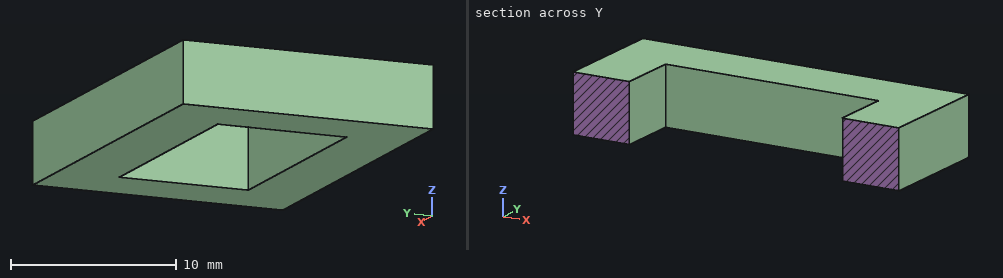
import cadquery as cq

length = 23.0
width = 16.5
wall = 4.0
height = wall

opening_length = length - 2 * wall
opening_width = width - 2 * wall

frame_outline = cq.Workplane("XY").rect(length, width).rect(opening_length, opening_width)
result = frame_outline.extrude(height)